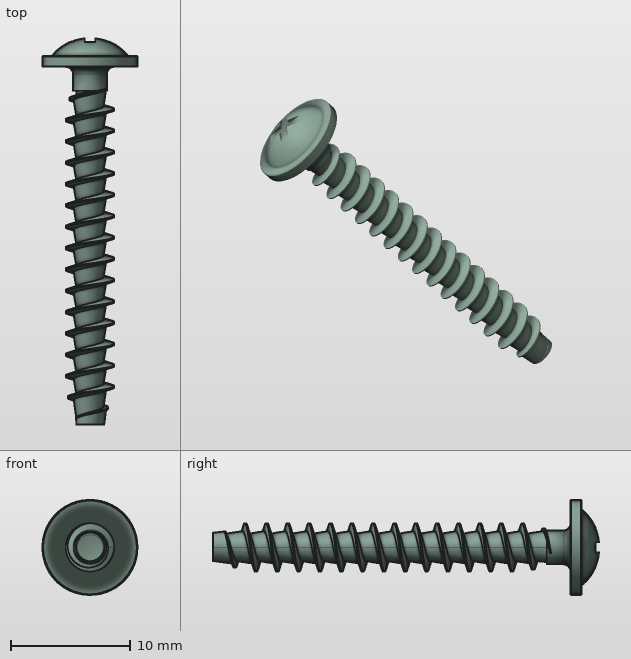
import cadquery as cq
import math

FLANGE_RADIUS = 4.0
FLANGE_THICKNESS = 0.93
RIM_CHAMFER = 0.08
HEAD_HEIGHT = 2.454
DOME_BASE_RADIUS = 3.2
RECESS_WIDTH = 0.85
RECESS_DEPTH = 0.34

SHANK_RADIUS = 1.43
SHANK_LENGTH = 2.0
NECK_FILLET = 0.58
SCREW_LENGTH = 30.0
TIP_DIMPLE_RADIUS = 1.08
TIP_DIMPLE_DEPTH = 0.12

PITCH = 1.79
CREST_RADIUS = 2.03
CREST_HALF_WIDTH = 0.06
FLANK_SLOPE = 0.27
HEAD_FOOT_RADIUS = 1.16
TIP_FOOT_RADIUS = 1.37

FIRST_CREST_Y = -1.77
RUN_IN_TURNS = 1.0
RUN_IN_RADIUS = 1.46
RUN_OUT_END = 15.5
RUN_OUT_TURNS = 1.25
FADED_CREST_RADIUS = 1.18
SECTION_CORNERS = 4
FADE_STEP = 0.02
FIRST_TURN = -1
LAST_TURN = 17
POINTS_PER_TURN = 16


def make_blank():
    """Domed washer head, filleted neck and plain shank, revolved about Y."""
    dome_rise = HEAD_HEIGHT - FLANGE_THICKNESS
    dome_radius = (DOME_BASE_RADIUS**2 + dome_rise**2) / (2 * dome_rise)
    fillet_center_x = SHANK_RADIUS + NECK_FILLET
    fillet_mid = NECK_FILLET * math.sqrt(0.5)
    return (
        cq.Workplane("XY")
        .moveTo(0, HEAD_HEIGHT)
        .radiusArc((DOME_BASE_RADIUS, FLANGE_THICKNESS), dome_radius)
        .lineTo(FLANGE_RADIUS - RIM_CHAMFER, FLANGE_THICKNESS)
        .lineTo(FLANGE_RADIUS, FLANGE_THICKNESS - RIM_CHAMFER)
        .lineTo(FLANGE_RADIUS, RIM_CHAMFER)
        .lineTo(FLANGE_RADIUS - RIM_CHAMFER, 0)
        .lineTo(fillet_center_x, 0)
        .threePointArc(
            (fillet_center_x - fillet_mid, fillet_mid - NECK_FILLET),
            (SHANK_RADIUS, -NECK_FILLET),
        )
        .lineTo(SHANK_RADIUS, -SHANK_LENGTH)
        .lineTo(0, -SHANK_LENGTH)
        .close()
        .revolve(360, (0, 0, 0), (0, 1, 0))
    )


def make_recess():
    """Cross-shaped recess in the top of the dome."""
    span = 2 * FLANGE_RADIUS
    slot_x = cq.Workplane("XY").box(span, RECESS_DEPTH, RECESS_WIDTH)
    slot_z = cq.Workplane("XY").box(RECESS_WIDTH, RECESS_DEPTH, span)
    return slot_x.union(slot_z).translate((0, HEAD_HEIGHT - RECESS_DEPTH / 2, 0))


def crest_radius(turn):
    """Crest radius at a turn count, growing at the run-in and fading at the run-out."""
    rise = RUN_IN_RADIUS + (CREST_RADIUS - RUN_IN_RADIUS) * turn / RUN_IN_TURNS
    fade = (RUN_OUT_END - turn) / RUN_OUT_TURNS
    fall = FADED_CREST_RADIUS + (CREST_RADIUS - FADED_CREST_RADIUS) * fade
    return max(FADED_CREST_RADIUS, min(CREST_RADIUS, rise, fall))


def tooth_section(turn):
    """Tooth corners (axial offset, radius): head-side foot, two crest corners, tip-side foot."""
    crest = crest_radius(turn)
    head_foot = min(HEAD_FOOT_RADIUS, crest - FADE_STEP)
    tip_foot = min(TIP_FOOT_RADIUS, crest - FADE_STEP)
    return [
        (CREST_HALF_WIDTH + FLANK_SLOPE * (crest - head_foot), head_foot),
        (CREST_HALF_WIDTH, crest),
        (-CREST_HALF_WIDTH, crest),
        (-CREST_HALF_WIDTH - FLANK_SLOPE * (crest - tip_foot), tip_foot),
    ]


def corner_point(turn, corner):
    """Position of one tooth corner at a turn count."""
    offset, radius = tooth_section(turn)[corner]
    angle = 2 * math.pi * turn
    y = FIRST_CREST_Y - PITCH * turn + offset
    return cq.Vector(radius * math.cos(angle), y, radius * math.sin(angle))


def corner_path(turn, corner):
    """Helical edge followed by one tooth corner through the turn that starts at a turn count."""
    steps = range(POINTS_PER_TURN + 1)
    return cq.Edge.makeSpline([corner_point(turn + i / POINTS_PER_TURN, corner) for i in steps])


def make_turn_end(turn):
    """Faces closing the thread at a turn count: a half-plane section and a helicoid to the axis."""
    outline = [corner_point(turn, corner) for corner in range(SECTION_CORNERS)]
    outline.append(corner_point(turn + 1, 0))
    axis_start = cq.Vector(0, outline[0].y, 0)
    axis_end = cq.Vector(0, outline[-1].y, 0)
    section = cq.Wire.makePolygon(outline + [axis_end, axis_start], close=True)
    axis = cq.Edge.makeLine(axis_start, axis_end)
    helicoid = cq.Face.makeRuledSurface(corner_path(turn, 0), axis)
    return [cq.Face.makeFromWires(section), helicoid]


def make_threaded_core():
    """Solid core with its thread: ruled flank, crest and root faces, one set per turn."""
    faces = make_turn_end(FIRST_TURN) + make_turn_end(LAST_TURN)
    for turn in range(FIRST_TURN, LAST_TURN):
        rails = [corner_path(turn, corner) for corner in range(SECTION_CORNERS)]
        rails.append(corner_path(turn + 1, 0))
        for upper, lower in zip(rails, rails[1:]):
            faces.append(cq.Face.makeRuledSurface(upper, lower))
    core = cq.Solid.makeSolid(cq.Shell.makeShell(faces)).fix()
    return cq.Workplane("XY").add(core)


def make_end_trim():
    """Block beyond the flat tip that cuts off the overlong thread."""
    size = 2 * FLANGE_RADIUS
    return cq.Workplane("XY").box(size, size, size).translate((0, -SCREW_LENGTH - size / 2, 0))


def make_tip_dimple():
    """Ball whose cap forms the shallow dimple in the flat tip."""
    ball_radius = (TIP_DIMPLE_RADIUS**2 + TIP_DIMPLE_DEPTH**2) / (2 * TIP_DIMPLE_DEPTH)
    center_y = TIP_DIMPLE_DEPTH - SCREW_LENGTH - ball_radius
    return cq.Workplane("XY").sphere(ball_radius).translate((0, center_y, 0))


head = make_blank().cut(make_recess())
threaded_core = make_threaded_core().cut(make_end_trim()).cut(make_tip_dimple())
result = head.union(threaded_core)